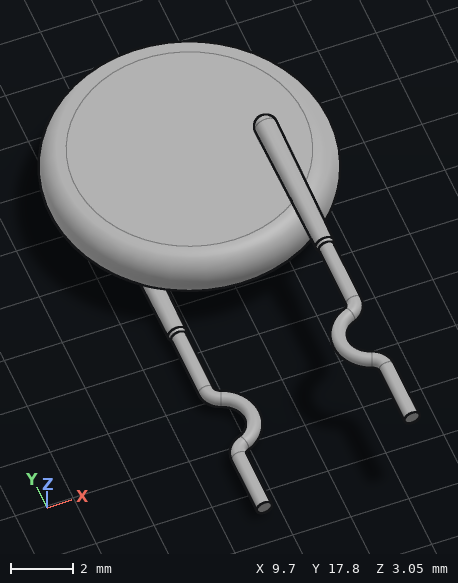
import cadquery as cq
import math

overall_length = 17.82
overall_height = 3.05

disc_radius = 4.85
disc_thickness = 1.78

lead_x = 2.55
lead_z = 1.14
wire_radius = 0.27
wire_end_y = disc_radius - overall_length

coating_tip_radius = overall_height / 2 - lead_z
coating_end_radius = 0.32
coating_tip_y = 0.16
coating_end_y = -5.5
coating_chamfer = 0.15
coating_dome_y = coating_tip_y - coating_tip_radius
coating_chamfer_y = coating_end_y + coating_chamfer

kink_middle_y = -9.32
kink_half_length = 1.45
kink_depth = 1.02
outer_bend_radius = 0.5
bend_angle = 2 * math.atan(kink_depth / kink_half_length)
kink_top_y = kink_middle_y + kink_half_length
kink_bottom_y = kink_middle_y - kink_half_length


def make_disc():
    """Flat disc with a fully rounded rim."""
    half_thickness = disc_thickness / 2
    flat_radius = disc_radius - half_thickness
    return (
        cq.Workplane("XZ")
        .moveTo(0, -half_thickness)
        .lineTo(flat_radius, -half_thickness)
        .threePointArc((disc_radius, 0), (flat_radius, half_thickness))
        .lineTo(0, half_thickness)
        .close()
        .revolve(360, (0, 0), (0, 1))
    )


def make_coating():
    """Tapered sleeve with a domed tip and a chamfered end, at the upper lead."""
    dome_middle = coating_tip_radius * math.sqrt(0.5)
    return (
        cq.Workplane("XY")
        .moveTo(0, coating_tip_y)
        .threePointArc(
            (dome_middle, coating_dome_y + dome_middle),
            (coating_tip_radius, coating_dome_y),
        )
        .lineTo(coating_end_radius, coating_chamfer_y)
        .lineTo(wire_radius, coating_end_y)
        .lineTo(0, coating_end_y)
        .close()
        .revolve(360, (0, 0), (0, 1))
        .translate((lead_x, 0, lead_z))
    )


def make_wire():
    """Round wire with its kink, starting inside the coating, at the upper lead."""
    joint_x = -outer_bend_radius * (1 - math.cos(bend_angle))
    joint_drop = outer_bend_radius * math.sin(bend_angle)
    path = (
        cq.Workplane("XY")
        .moveTo(0, coating_dome_y)
        .lineTo(0, kink_top_y)
        .tangentArcPoint((joint_x, kink_top_y - joint_drop), relative=False)
        .threePointArc(
            (-kink_depth, kink_middle_y),
            (joint_x, kink_bottom_y + joint_drop),
        )
        .tangentArcPoint((0, kink_bottom_y), relative=False)
        .lineTo(0, wire_end_y)
    )
    return (
        cq.Workplane("XZ", origin=(0, coating_dome_y, 0))
        .circle(wire_radius)
        .sweep(path)
        .translate((lead_x, 0, lead_z))
    )


upper_lead = make_coating().union(make_wire())
lower_lead = upper_lead.rotate((0, 0, 0), (0, 1, 0), 180)
result = make_disc().union(upper_lead).union(lower_lead)